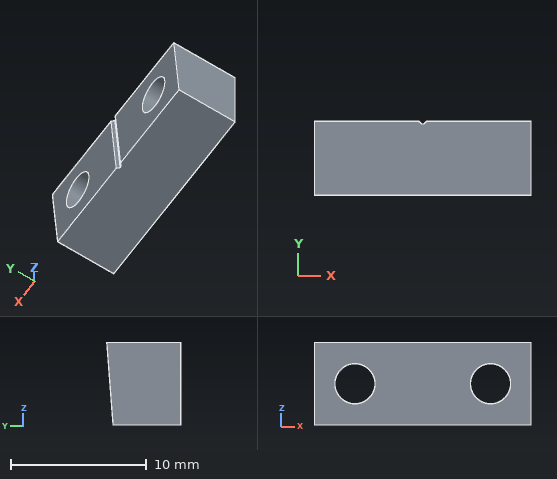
import cadquery as cq

length = 16.0
height = 6.1
top_depth = 5.47
bottom_depth = 5.0

hole_diameter = 2.95
hole_spacing = 10.0

groove_width = 0.55
groove_depth = 0.2
groove_floor = 0.13


def make_block():
    """Block with a vertical front face at Y = 0 and a back face leaning outward."""
    profile = [(0, 0), (bottom_depth, 0), (top_depth, height), (0, height)]
    return cq.Workplane("YZ").polyline(profile).close().extrude(length / 2, both=True)


def make_holes():
    return (
        cq.Workplane("XZ")
        .pushPoints([(side * hole_spacing / 2, height / 2) for side in (-1, 1)])
        .circle(hole_diameter / 2)
        .extrude(-top_depth)
    )


def groove_section(height_level, back):
    """Flat-bottomed V section, cut into the back edge at the given height."""
    points = [
        (-groove_width / 2, back),
        (-groove_floor / 2, back - groove_depth),
        (groove_floor / 2, back - groove_depth),
        (groove_width / 2, back),
    ]
    return cq.Wire.makePolygon([cq.Vector(x, y, height_level) for x, y in points], close=True)


def make_groove():
    """Groove that follows the slope of the back face from bottom to top."""
    sections = [groove_section(0, bottom_depth), groove_section(height, top_depth)]
    return cq.Workplane(obj=cq.Solid.makeLoft(sections, True))


result = make_block().cut(make_holes()).cut(make_groove())